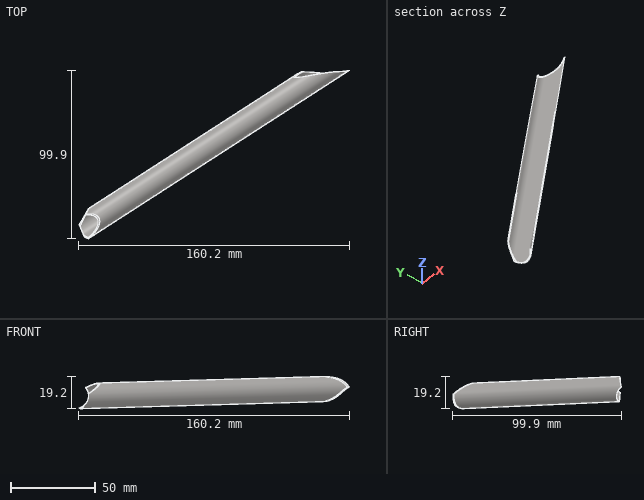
import cadquery as cq

TUBE_RADIUS = 7.5
WALL = 0.56
TUBE_CENTRE = cq.Vector(0, 7.2, 0.2)
TUBE_DIRECTION = cq.Vector(1, 0.645, 0.029).normalized()
TUBE_START = -97.8
TUBE_END = 90.5

CUTTER_LENGTH = 96.2
RIGHT_TUBE_RADIUS = 9.6
LEFT_CROSS_TUBE = (cq.Vector(-82.4, -42.5, -2.0), cq.Vector(0, 1, 0), TUBE_RADIUS)
RIGHT_UPPER_TUBE = (cq.Vector(61.2, 56.9, 6.3), cq.Vector(0.99, 0.13, -0.07), RIGHT_TUBE_RADIUS)
RIGHT_LOWER_TUBE = (cq.Vector(69, 56.9, -3.2), cq.Vector(0.99, -0.11, -0.1), RIGHT_TUBE_RADIUS)

LEFT_BEVEL = (cq.Vector(-71.5, -40.5, 3.5), cq.Vector(-0.38, -0.28, 0.88))
LEFT_TIP = (cq.Vector(-80.2, -42.2, -8), cq.Vector(-0.92, -0.38, 0))
FLAT_BLOCK = 64.1


def cylinder(centre, direction, radius, length):
    """Solid cylinder with its middle at centre."""
    start = centre - direction.normalized() * (length / 2)
    return cq.Workplane(cq.Solid.makeCylinder(radius, length, start, direction))


def tube_blank():
    length = TUBE_END - TUBE_START
    middle = TUBE_CENTRE + TUBE_DIRECTION * ((TUBE_START + TUBE_END) / 2)
    outer = cylinder(middle, TUBE_DIRECTION, TUBE_RADIUS, length)
    bore = cylinder(middle, TUBE_DIRECTION, TUBE_RADIUS - WALL, length)
    return outer.cut(bore)


def flat_cutter(point, normal):
    """Block that removes everything on the normal's side of a plane."""
    plane = cq.Plane(origin=point, normal=normal)
    return cq.Workplane(plane).rect(FLAT_BLOCK, FLAT_BLOCK).extrude(FLAT_BLOCK)


tube = tube_blank()
for flat_point, flat_normal in (LEFT_BEVEL, LEFT_TIP):
    tube = tube.cut(flat_cutter(flat_point, flat_normal))
for axis_point, axis_direction, radius in (LEFT_CROSS_TUBE, RIGHT_UPPER_TUBE, RIGHT_LOWER_TUBE):
    tube = tube.cut(cylinder(axis_point, axis_direction, radius, CUTTER_LENGTH))

result = cq.Workplane(max(tube.solids().vals(), key=lambda piece: piece.Volume()))